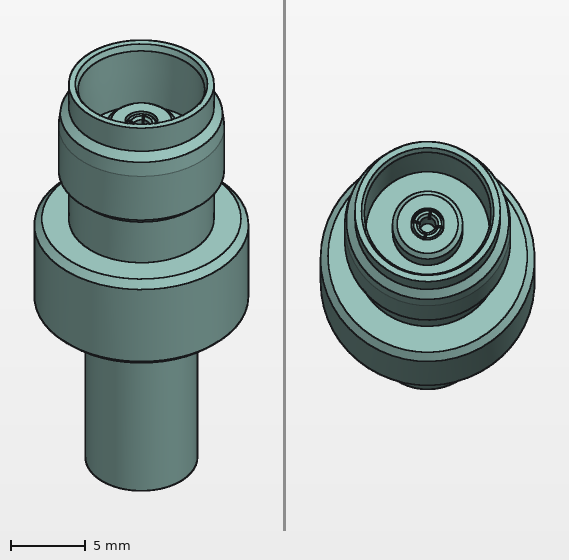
import cadquery as cq

total_height = 31.3
collar_bottom = 12.95
collar_top = 20.0
band_bottom = 23.4
band_shoulder = 27.8
band_taper_top = 28.85
band_top = 29.35

tail_radius = 3.75
collar_radius = 7.152
collar_chamfer = 0.5
neck_radius = 4.85
band_radius = 5.55
band_taper_radius = 5.4

socket_depth = 5.0
socket_floor_radius = 4.13
lead_in_depth = 0.45
lead_in_bottom_radius = 4.23
lead_in_top_radius = 4.4

insulator_top = total_height - 3.13
insulator_radius = 2.35
insulator_chamfer = 0.3

contact_radius = 1.1
contact_depth = 1.88
contact_tip_depth = 0.1
contact_tip_radius = 0.95
contact_tip_taper = 0.25
contact_mouth_radius = 0.72
contact_bore_radius = 0.53
contact_slot_width = 0.13
contact_slot_depth = 0.63
contact_slot_length = 2 * contact_radius + 0.3
contact_slot_angles = (45, 135)


def revolved(profile):
    """Revolve a closed list of (radius, height) points about the Z axis."""
    return cq.Workplane("XZ").polyline(profile).close().revolve(360, (0, 0), (0, 1))


def make_outer_body():
    band_chamfer = band_radius - neck_radius
    collar_face_radius = collar_radius - collar_chamfer
    return revolved([
        (0, 0),
        (tail_radius, 0),
        (tail_radius, collar_bottom),
        (collar_face_radius, collar_bottom),
        (collar_radius, collar_bottom + collar_chamfer),
        (collar_radius, collar_top - collar_chamfer),
        (collar_face_radius, collar_top),
        (neck_radius, collar_top),
        (neck_radius, band_bottom),
        (band_radius, band_bottom + band_chamfer),
        (band_radius, band_shoulder),
        (band_taper_radius, band_taper_top),
        (neck_radius, band_top),
        (neck_radius, total_height),
        (0, total_height),
    ])


def make_socket():
    floor = total_height - socket_depth
    return revolved([
        (0, floor),
        (socket_floor_radius, floor),
        (lead_in_bottom_radius, total_height - lead_in_depth),
        (lead_in_top_radius, total_height),
        (0, total_height),
    ])


def make_insulator():
    floor = total_height - socket_depth
    return revolved([
        (0, floor),
        (insulator_radius, floor),
        (insulator_radius, insulator_top - insulator_chamfer),
        (insulator_radius - insulator_chamfer, insulator_top),
        (0, insulator_top),
    ])


def make_contact_hole():
    return revolved([
        (0, insulator_top - contact_depth),
        (contact_radius, insulator_top - contact_depth),
        (contact_radius, insulator_top),
        (0, insulator_top),
    ])


def make_contact():
    root = insulator_top - contact_depth
    tip = insulator_top - contact_tip_depth
    countersink_depth = contact_mouth_radius - contact_bore_radius
    contact = revolved([
        (contact_bore_radius, root),
        (contact_radius, root),
        (contact_radius, tip - contact_tip_taper),
        (contact_tip_radius, tip),
        (contact_mouth_radius, tip),
        (contact_bore_radius, tip - countersink_depth),
    ])
    for angle in contact_slot_angles:
        slot = (
            cq.Workplane("XY", origin=(0, 0, tip - contact_slot_depth))
            .rect(contact_slot_length, contact_slot_width)
            .extrude(contact_slot_depth)
            .rotate((0, 0, 0), (0, 0, 1), angle)
        )
        contact = contact.cut(slot)
    return contact


result = (
    make_outer_body()
    .cut(make_socket())
    .union(make_insulator())
    .cut(make_contact_hole())
    .union(make_contact())
)